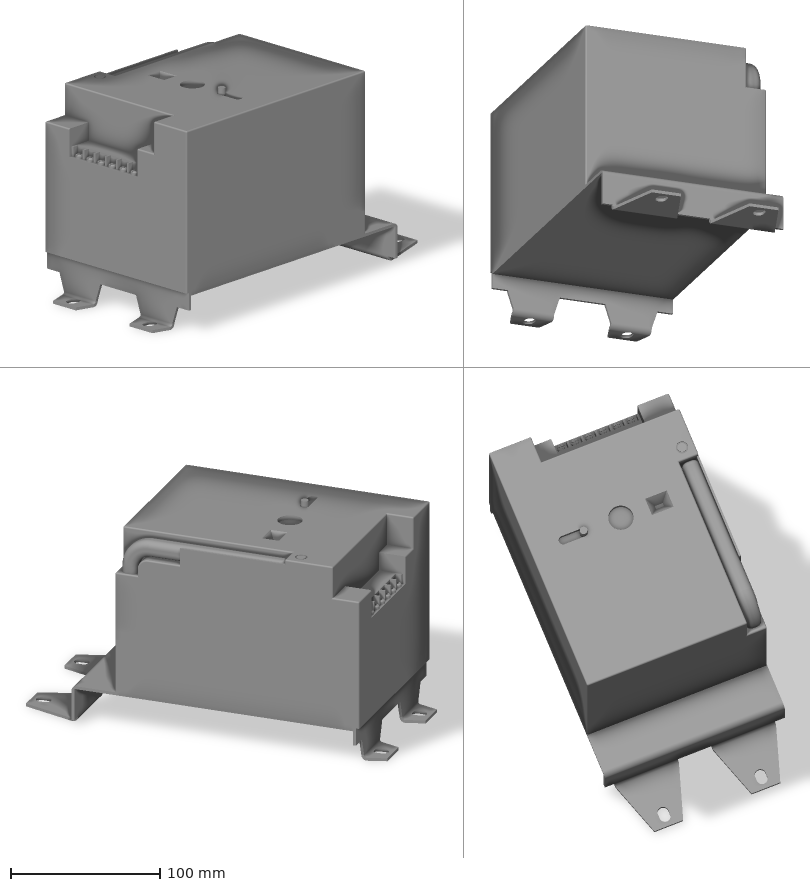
import cadquery as cq
import math

width = 130.0
total_length = 260.0
total_height = 148.0
half_width = width / 2
cos_45 = math.cos(math.radians(45))

sheet = 2.0
bend_inner = 1.8
bend_outer = bend_inner + sheet
plate_top = 28.9
front_flange_y = 15.0
rear_flange_y = 219.7
front_flange_bottom = 16.6
foot_pitch = 70.2
foot_tip_width = 20.8
front_foot_base_width = 29.0
front_foot_root_width = 37.5
rear_foot_base_width = 45.8
foot_slot_width = 7.5
foot_slot_length = 10.7
foot_slot_from_tip = 8.5
foot_centers = (-foot_pitch / 2, foot_pitch / 2)

body_front = 12.7
body_back = 188.2
body_bottom = 29.0
body_top = 143.8
edge_radius = 1.0

notch_depth = 19.0
notch_right = 34.5
notch_floor = body_top - 22.5
terminal_left = -42.5
terminal_width = 62.5
terminal_floor = 101.1
terminal_top = 108.2
terminal_count = 6
terminal_pitch = 10.1
cell_width = 8.5
cell_depth = 6.5
screw_diameter = 5.5
screw_height = 2.5
screw_edge_radius = 1.0
screw_from_front = 3.5
screw_slot_width = 1.0
screw_slot_depth = 1.0

handle_size = 11.7
handle_corner_radius = 4.7
handle_end_radius = 3.0
handle_x = -57.7
handle_z = 135.0
handle_bend_radius = 14.3
handle_leg_y = 179.1
handle_front = 66.8
handle_gap = 1.0
recess_right = -50.7
recess_front = 66.3
recess_leg_floor = 115.7
rim_back = 141.7
rim_top = 140.5

control_y = 88.0
funnel_x = -27.8
funnel_length = 15.5
funnel_width = 12.2
funnel_depth = 7.8
funnel_inset = 5.0
dial_diameter = 17.0
dial_depth = 3.0
lever_slot_x = 34.3
lever_slot_length = 20.8
lever_slot_width = 6.0
lever_slot_depth = 3.0
lever_diameter = 5.2
ring_x = -56.5
ring_y = 57.7
ring_outer_diameter = 8.3
ring_inner_diameter = 6.2
ring_depth = 0.8


def box(x0, x1, y0, y1, z0, z1):
    """Box between two opposite corners."""
    return cq.Workplane("XY").box(x1 - x0, y1 - y0, z1 - z0, centered=False).translate((x0, y0, z0))


def across(outline, x0, x1):
    """Extrude a closed (Y, Z) outline between two X positions."""
    return outline.extrude(x1 - x0).translate((x0, 0, 0))


def trapezoid(plane, x, start, start_width, end, end_width):
    """Closed symmetric trapezoid around x, from start to end along the plane's second axis."""
    return cq.Workplane(plane).polyline([
        (x - start_width / 2, start),
        (x + start_width / 2, start),
        (x + end_width / 2, end),
        (x - end_width / 2, end),
    ]).close()


def foot(x, flange_y, tip_y, base_width):
    """Flat foot with its slot, joined to a flange face by a quarter bend."""
    outward = math.copysign(1, tip_y - flange_y)
    bend_y = flange_y + outward * bend_inner
    outline = (
        cq.Workplane("YZ")
        .moveTo(flange_y, bend_outer)
        .threePointArc(
            (bend_y - outward * bend_inner * cos_45, bend_outer - bend_inner * cos_45),
            (bend_y, sheet),
        )
        .lineTo(bend_y, 0)
        .threePointArc(
            (bend_y - outward * bend_outer * cos_45, bend_outer - bend_outer * cos_45),
            (flange_y - outward * sheet, bend_outer),
        )
        .close()
    )
    bend = across(outline, x - base_width / 2, x + base_width / 2)
    flat = trapezoid("XY", x, bend_y, base_width, tip_y, foot_tip_width).extrude(sheet)
    slot = (
        cq.Workplane("XY")
        .center(x, tip_y - outward * foot_slot_from_tip)
        .slot2D(foot_slot_length, foot_slot_width, 90)
        .extrude(sheet)
    )
    return bend.union(flat).cut(slot)


def bracket():
    """Plate with a flange at each end and two feet on each flange."""
    plate = box(-half_width, half_width, front_flange_y, rear_flange_y, plate_top - sheet, plate_top)
    rear_flange = box(-half_width, half_width, rear_flange_y - sheet, rear_flange_y, bend_outer, plate_top)
    front_flange = box(
        -half_width, half_width, front_flange_y, front_flange_y + sheet, front_flange_bottom, body_bottom
    )
    part = plate.union(rear_flange)
    part = part.edges("|X and >Y and >Z").fillet(bend_outer)
    part = part.union(front_flange)
    for x in foot_centers:
        root = trapezoid(
            "XZ", x, bend_outer, front_foot_base_width, front_flange_bottom, front_foot_root_width
        ).extrude(-sheet).translate((0, front_flange_y, 0))
        part = part.union(root)
        part = part.union(foot(x, front_flange_y, 0, front_foot_base_width))
        part = part.union(foot(x, rear_flange_y, total_length, rear_foot_base_width))
    return part


def handle_recess():
    """Recess that follows the underside of the handle and opens to the left, back and top."""
    clearance = handle_size / 2 + handle_gap
    leg_front = handle_leg_y - clearance
    bend_y = handle_leg_y - handle_bend_radius
    bend_z = handle_z - handle_bend_radius
    inner_radius = handle_bend_radius - clearance
    diagonal = inner_radius * cos_45
    outline = (
        cq.Workplane("YZ")
        .moveTo(body_back, recess_leg_floor)
        .lineTo(leg_front, recess_leg_floor)
        .lineTo(leg_front, bend_z)
        .threePointArc((bend_y + diagonal, bend_z + diagonal), (bend_y, handle_z - clearance))
        .lineTo(recess_front, handle_z - clearance)
        .lineTo(recess_front, body_top)
        .lineTo(body_back, body_top)
        .close()
    )
    return across(outline, -half_width, recess_right)


def housing():
    """Rounded housing with the front notch, the handle recess and the rim beside the handle."""
    part = box(-half_width, half_width, body_front, body_back, body_bottom, body_top)
    part = part.cut(box(
        -half_width, notch_right, body_front, body_front + notch_depth, notch_floor, body_top
    ))
    part = part.cut(handle_recess())
    part = part.faces("<X or >X or >Z or <Y or >Y").edges("not <Z").fillet(edge_radius)
    part = part.union(box(
        -half_width, handle_x - handle_size / 2, recess_front - edge_radius, rim_back,
        handle_z - handle_size / 2 - handle_gap - edge_radius, rim_top,
    ))
    skirt = box(
        -half_width, half_width, front_flange_y, body_back, plate_top - sheet, body_bottom
    )
    return part.union(skirt)


def handle():
    """Rounded-square bar that bends down into the back of the recess."""
    bend_y = handle_leg_y - handle_bend_radius
    bend_z = handle_z - handle_bend_radius
    bar = (
        cq.Workplane("XZ", origin=(handle_x, bend_y, handle_z))
        .rect(handle_size, handle_size)
        .extrude(bend_y - handle_front)
        .edges("|Y").fillet(handle_corner_radius)
        .faces("<Y").edges().fillet(handle_end_radius)
    )
    leg = (
        cq.Workplane("XY", origin=(handle_x, handle_leg_y, recess_leg_floor))
        .rect(handle_size, handle_size)
        .extrude(bend_z - recess_leg_floor)
        .edges("|Z").fillet(handle_corner_radius)
    )
    elbow = (
        leg.faces(">Z").wires().toPending()
        .workplane(origin=(handle_x, handle_leg_y, bend_z))
        .revolve(90, (0, -handle_bend_radius, 0), (1, -handle_bend_radius, 0), combine=False)
    )
    return bar.union(leg).union(elbow)


def screw(x):
    """Domed screw head with a crossed recess."""
    head = cq.Workplane("XY").circle(screw_diameter / 2).extrude(screw_height)
    head = head.faces(">Z").edges().fillet(screw_edge_radius)
    slots = (
        cq.Workplane("XY", origin=(0, 0, screw_height - screw_slot_depth))
        .rect(screw_diameter, screw_slot_width)
        .extrude(screw_slot_depth)
    )
    slots = slots.union(slots.rotate((0, 0, 0), (0, 0, 1), 90))
    return head.cut(slots).translate((x, body_front + screw_from_front, terminal_floor))


def add_terminals(part):
    """Cut the terminal pocket and its row of open cells behind the front sheet, and add the screws."""
    terminal_right = terminal_left + terminal_width
    part = part.cut(box(
        terminal_left, terminal_right, body_front, body_front + notch_depth, terminal_top, body_top
    ))
    part = part.cut(box(
        terminal_left, terminal_right, body_front, body_front + sheet, terminal_floor, terminal_top
    ))
    middle = (terminal_left + terminal_right) / 2
    for index in range(terminal_count):
        x = middle + (index - (terminal_count - 1) / 2) * terminal_pitch
        part = part.cut(box(
            x - cell_width / 2, x + cell_width / 2,
            body_front, body_front + cell_depth, terminal_floor, terminal_top,
        ))
        part = part.union(screw(x))
    return part


def add_controls(part):
    """Cut the funnel, dial, lever slot and ring on the top face and add the lever pin."""
    top = cq.Workplane("XY", origin=(0, 0, body_top))
    funnel_taper = math.degrees(math.atan(funnel_inset / funnel_depth))
    part = part.cut(
        top.center(funnel_x, control_y).rect(funnel_length, funnel_width)
        .extrude(-funnel_depth, taper=funnel_taper)
    )
    part = part.cut(top.center(0, control_y).circle(dial_diameter / 2).extrude(-dial_depth))
    part = part.cut(
        top.center(lever_slot_x, control_y).slot2D(lever_slot_length, lever_slot_width)
        .extrude(-lever_slot_depth)
    )
    part = part.cut(
        top.center(ring_x, ring_y).circle(ring_outer_diameter / 2).circle(ring_inner_diameter / 2)
        .extrude(-ring_depth)
    )
    lever_x = lever_slot_x - (lever_slot_length - lever_slot_width) / 2
    lever_bottom = body_top - lever_slot_depth
    lever = (
        cq.Workplane("XY", origin=(lever_x, control_y, lever_bottom))
        .circle(lever_diameter / 2)
        .extrude(total_height - lever_bottom)
    )
    return part.union(lever)


result = housing().union(bracket()).union(handle())
result = add_terminals(result)
result = add_controls(result)